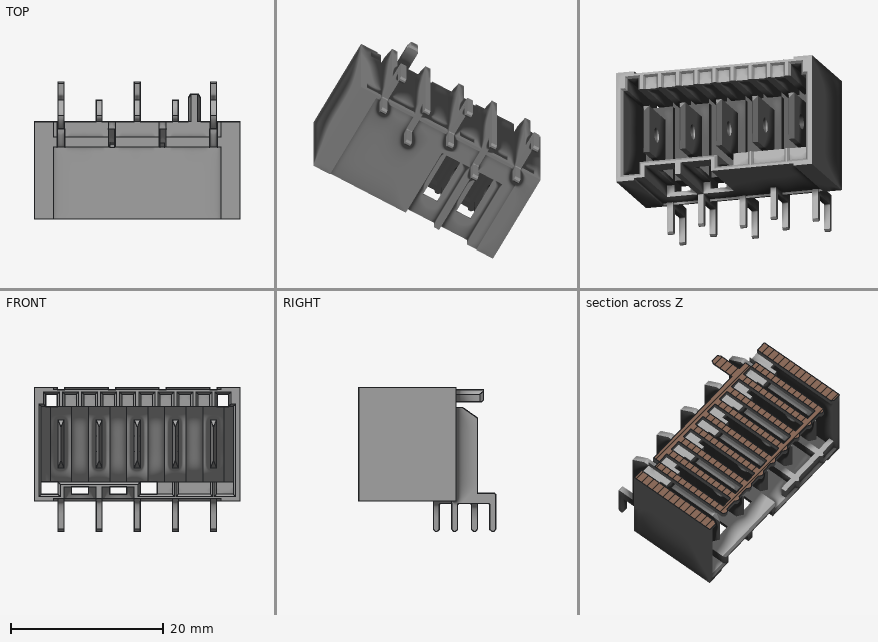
import cadquery as cq


length = 27.0
depth = 12.8
height = 14.9
side_wall = 0.9
floor_top = 0.9
face_recess = 0.3
recessed_top = height - face_recess
flange_inner_x = 11.0
ridge_front_y = 9.45
ridge_rear_y = 10.8
bottom_lip_y = 12.4
mouth_flare = 0.3
open_z = height / 2
cavity_half_x = length / 2 - side_wall

wall_front_y = 10.0
wall_bottom = 2.5
wall_top = 12.4
pillar_width = 2.8
pillar_front_y = 9.0

pocket_count = 10
pocket_pitch = 2.5
pocket_width = 1.5
pocket_top = 14.0
pocket_end_y = 11.8

top_slot_width = 0.95
inner_slot_x = 3.3

contact_pitch = 5.0
contact_xs = [contact_pitch * i for i in range(-2, 3)]
top_slot_xs = (contact_xs[0], -inner_slot_x, inner_slot_x, contact_xs[-1])
contact_width = 0.8
blade_mid_z = 7.5
blade_height = 6.3
blade_bottom = blade_mid_z - blade_height / 2
blade_top = blade_mid_z + blade_height / 2
blade_tip_height = 4.4
blade_tip_y = 1.1
blade_shoulder_y = 2.1
blade_hole_diameter = 2.0
blade_hole_y = 5.2
plate_front_y = 11.9
plate_top = 12.3
plate_slope_y = 13.6
plate_slope_z = 10.9
plate_rear_y = 15.6
bar_top = 1.05
bar_bottom = -0.35
leg_bottom = -4.0
leg_spacing = 5.0
long_leg_rear_y = 18.0
short_leg_rear_y = plate_rear_y
bar_corner_radius = 0.15
bar_end_chamfer = 0.2
leg_tip_inset = 0.25
leg_tip_height = 0.3

raised_mid_x = -contact_pitch
raised_half_x = contact_pitch + contact_width / 2
raised_left = raised_mid_x - raised_half_x
raised_right = raised_mid_x + raised_half_x
raised_web = 0.8
recess_top = 1.85
recess_rear_y = 9.7
window_front_y = 2.7

rib_xs = (contact_pitch, 2 * contact_pitch)
rib_width = 0.8
cross_bar_left_x = 2.6
cross_bar_rear_y = 1.0

peg_x = 7.5
peg_width = 1.6
peg_top_width = 0.85
peg_bottom = 13.0
peg_shoulder_z = 14.0
peg_end_y = 16.4
peg_tip_inset = 0.27
peg_tip_taper = 0.5


def block(x0, x1, y0, y1, z0, z1):
    """Box given by its limits."""
    return cq.Workplane("XY").box(x1 - x0, y1 - y0, z1 - z0, centered=False).translate((x0, y0, z0))


def flare(x0, x1, z0, z1):
    """45-degree lead-in at the mating face around a rectangular opening."""
    return (
        cq.Workplane("XZ", origin=((x0 + x1) / 2, mouth_flare, (z0 + z1) / 2))
        .rect(x1 - x0, z1 - z0)
        .workplane(offset=mouth_flare)
        .rect(x1 - x0 + 2 * mouth_flare, z1 - z0 + 2 * mouth_flare)
        .loft(ruled=True)
    )


def pocket_xs():
    middle = (pocket_count - 1) / 2
    return [pocket_pitch * (i - middle) for i in range(pocket_count)]


def shell():
    """Outer block with its recessed faces, the main cavity and the gap below the rear wall."""
    body = block(-length / 2, length / 2, 0, depth, 0, height)
    body = body.cut(block(-flange_inner_x, flange_inner_x, 0, ridge_front_y, recessed_top, height))
    body = body.cut(block(-flange_inner_x, flange_inner_x, ridge_rear_y, depth, recessed_top, height))
    body = body.cut(block(-flange_inner_x, flange_inner_x, 0, bottom_lip_y, 0, face_recess))
    body = body.cut(block(-cavity_half_x, cavity_half_x, 0, wall_front_y, floor_top, wall_top))
    return body.cut(block(-cavity_half_x, cavity_half_x, 0, depth, floor_top, wall_bottom))


def add_inner_walls(body):
    """Rear wall pillars, the raised floor, and the ribs with their cross bar."""
    for x in contact_xs:
        x0 = x - pillar_width / 2
        x1 = x + pillar_width / 2
        body = body.union(block(x0, x1, pillar_front_y, wall_front_y, wall_bottom, wall_top))
    body = body.union(block(raised_left, raised_right, 0, depth, face_recess, wall_bottom))
    for x in rib_xs:
        body = body.union(block(x - rib_width / 2, x + rib_width / 2, 0, depth, face_recess, wall_bottom))
    return body.union(
        block(cross_bar_left_x, cavity_half_x, mouth_flare, cross_bar_rear_y, floor_top, wall_bottom)
    )


def cut_pockets(body):
    """Keying pockets closed by a bar behind the lead-ins, except the two outer ones that run through."""
    xs = pocket_xs()
    for x in xs:
        x0 = x - pocket_width / 2
        x1 = x + pocket_width / 2
        rear_y = depth if x in (xs[0], xs[-1]) else pocket_end_y
        body = body.cut(block(x0, x1, 0, rear_y, wall_top, pocket_top))
        body = body.cut(flare(x0, x1, open_z, pocket_top))
    inner_x = xs[-1] - pocket_width / 2
    return body.union(block(-inner_x, inner_x, mouth_flare, cross_bar_rear_y, wall_top, pocket_top))


def cut_mouth_flares(body):
    """Lead-ins around the lower and side edges of the cavity."""
    for side in (-1, 1):
        x0, x1 = sorted((side * flange_inner_x, side * cavity_half_x))
        body = body.cut(flare(x0, x1, floor_top, wall_top))
    edges = [raised_right]
    for x in rib_xs:
        edges += [x - rib_width / 2, x + rib_width / 2]
    edges.append(cavity_half_x)
    bays = [(-cavity_half_x, raised_left)]
    bays += list(zip(edges[::2], edges[1::2]))
    for x0, x1 in bays:
        body = body.cut(flare(x0, x1, floor_top, open_z))
    return body.cut(flare(-flange_inner_x, raised_right + mouth_flare, wall_bottom, open_z))


def cut_raised_floor(body):
    """Two recesses under the raised floor and a window through it between the contacts."""
    recess_width = (raised_right - raised_left - 3 * raised_web) / 2
    window_width = contact_pitch - pillar_width
    for side in (-1, 1):
        x = raised_mid_x + side * (raised_web + recess_width) / 2
        body = body.cut(block(x - recess_width / 2, x + recess_width / 2, 0, recess_rear_y, 0, recess_top))
        x = raised_mid_x + side * contact_pitch / 2
        x0 = x - window_width / 2
        x1 = x + window_width / 2
        body = body.cut(block(x0, x1, window_front_y, depth, floor_top, wall_bottom))
    return body


def cut_top_slots(body):
    """Slots across the rear of the top; the outer two drop down beside the contact plates."""
    for x in top_slot_xs:
        x0 = x - top_slot_width / 2
        x1 = x + top_slot_width / 2
        body = body.cut(block(x0, x1, ridge_front_y, depth, pocket_top, height))
        if x in contact_xs:
            body = body.cut(block(x0, x1, pocket_end_y, depth, blade_top, pocket_top))
    return body


def side_outline(x, points):
    """Sheet of contact thickness centred on x, from its outline in the YZ plane."""
    sheet = cq.Workplane("YZ", origin=(x, 0, 0)).polyline(points).close()
    return sheet.extrude(contact_width / 2, both=True)


def blade(x):
    """Blade reaching into the cavity, with a knife-edge tip and a cross hole."""
    side = side_outline(x, [
        (blade_tip_y, blade_mid_z - blade_tip_height / 2),
        (blade_shoulder_y, blade_bottom),
        (plate_rear_y, blade_bottom),
        (plate_rear_y, blade_top),
        (blade_shoulder_y, blade_top),
        (blade_tip_y, blade_mid_z + blade_tip_height / 2),
    ])
    plan = (
        cq.Workplane("XY", origin=(x, 0, 0))
        .moveTo(0, blade_tip_y)
        .lineTo(contact_width / 2, blade_shoulder_y)
        .lineTo(contact_width / 2, plate_rear_y)
        .lineTo(-contact_width / 2, plate_rear_y)
        .lineTo(-contact_width / 2, blade_shoulder_y)
        .close()
        .extrude(height)
    )
    hole = (
        cq.Workplane("YZ", origin=(x, blade_hole_y, blade_mid_z))
        .circle(blade_hole_diameter / 2)
        .extrude(contact_width, both=True)
    )
    return side.intersect(plan).cut(hole)


def solder_legs(x, rear_y):
    """Bar along Y with a chamfered leg at each end."""
    x0 = x - contact_width / 2
    x1 = x + contact_width / 2
    gap_rear_y = rear_y - contact_width
    gap_front_y = rear_y - leg_spacing
    comb = block(x0, x1, gap_front_y - contact_width, rear_y, leg_bottom, bar_top)
    gap = block(x0, x1, gap_front_y, gap_rear_y, leg_bottom, bar_bottom)
    comb = comb.cut(gap.edges("|X and >Z").fillet(bar_corner_radius))
    comb = comb.edges("|X and >Y and >Z").chamfer(bar_end_chamfer)
    return comb.faces("<Z").edges("|X").chamfer(leg_tip_height, leg_tip_inset)


def contact(x, leg_rear_y):
    """Blade, upright plate behind the rear wall, and solder legs."""
    plate = side_outline(x, [
        (plate_front_y, plate_top),
        (plate_slope_y, plate_top),
        (plate_rear_y, plate_slope_z),
        (plate_rear_y, face_recess),
        (plate_front_y, face_recess),
    ])
    return blade(x).union(plate).union(solder_legs(x, leg_rear_y))


def peg():
    """Rear peg: flat top with sloped shoulders, tapered at its tip."""
    profile = (
        cq.Workplane("XZ", origin=(peg_x, depth, 0))
        .moveTo(-peg_top_width / 2, recessed_top)
        .lineTo(peg_top_width / 2, recessed_top)
        .lineTo(peg_width / 2, peg_shoulder_z)
        .lineTo(peg_width / 2, peg_bottom)
        .lineTo(-peg_width / 2, peg_bottom)
        .lineTo(-peg_width / 2, peg_shoulder_z)
        .close()
        .extrude(depth - peg_end_y)
    )
    plan = (
        block(peg_x - peg_width / 2, peg_x + peg_width / 2, depth, peg_end_y, peg_bottom, recessed_top)
        .edges("|Z and >Y").chamfer(peg_tip_taper, peg_tip_inset)
        .edges("|X and >Y and <Z").chamfer(peg_tip_inset)
    )
    return profile.intersect(plan)


def build():
    body = add_inner_walls(shell())
    body = cut_pockets(body)
    body = cut_mouth_flares(body)
    body = cut_raised_floor(body)
    body = cut_top_slots(body).union(peg())
    for i, x in enumerate(contact_xs):
        leg_rear_y = long_leg_rear_y if i % 2 == 0 else short_leg_rear_y
        body = body.union(contact(x, leg_rear_y))
    return body


result = build()